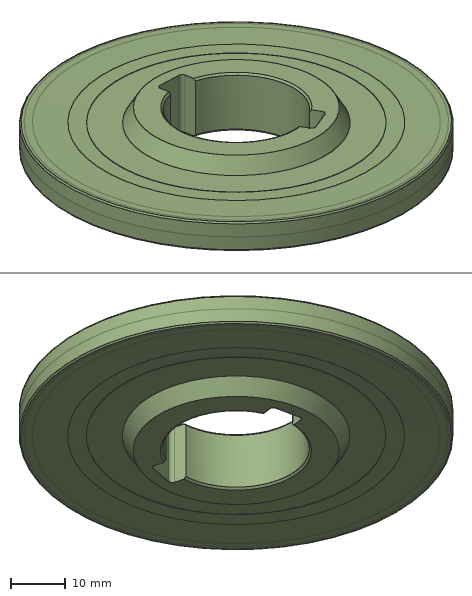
import cadquery as cq
import math

disc_radius = 40.0
hub_height = 12.0

hub_top_radius = 19.0
hub_base_radius = 21.0
web_radius = 27.6
web_half_thickness = 2.8

ring_inner_radius = 31.05
land_inner_radius = 37.6
land_outer_radius = 39.1
rim_thickness = 6.0
corner_size = 0.3
edge_radius = disc_radius - corner_size

dish_angle = 0.7
land_angle = 0.5
edge_angle = 1.3

rim_crown = 0.04

bore_radius = 13.5
bore_chamfer = 0.4
keyway_width = 7.0
keyway_depth_radius = 16.3
keyway_corner_radius = 0.8
keyway_angles = (0.0, 157.5)


def rise(inner_radius, outer_radius, angle):
    """Height gained by a conical face between two radii."""
    return (outer_radius - inner_radius) * math.tan(math.radians(angle))


edge_height = rim_thickness / 2
corner_height = edge_height - corner_size
land_outer_height = edge_height - rise(land_outer_radius, edge_radius, edge_angle)
land_inner_height = land_outer_height - rise(land_inner_radius, land_outer_radius, land_angle)
ring_inner_height = land_inner_height - rise(ring_inner_radius, land_inner_radius, dish_angle)
web_edge_height = ring_inner_height - rise(web_radius, ring_inner_radius, dish_angle)


def mirrored_revolve(upper_points):
    """Revolve a half profile, listed outwards, together with its mirror image below the middle plane."""
    lower_points = [(r, -z) for r, z in reversed(upper_points) if z > 0]
    profile = cq.Workplane("XZ").polyline(upper_points + lower_points).close()
    return profile.revolve(360, (0, 0, 0), (0, 1, 0))


def keyway(angle):
    """Through slot from the axis past the bore wall, with rounded outer corners."""
    slot = (
        cq.Workplane("XY")
        .box(keyway_depth_radius, keyway_width, hub_height, centered=(False, True, True))
        .edges("|Z and >X")
        .fillet(keyway_corner_radius)
    )
    return slot.rotate((0, 0, 0), (0, 0, 1), angle)


def make_hub():
    half_height = hub_height / 2
    hub = mirrored_revolve([
        (bore_radius, half_height - bore_chamfer),
        (bore_radius + bore_chamfer, half_height),
        (hub_top_radius, half_height),
        (hub_base_radius, web_half_thickness),
        (web_radius, web_half_thickness),
        (web_radius, web_edge_height),
        (ring_inner_radius, ring_inner_height),
    ])
    for angle in keyway_angles:
        hub = hub.cut(keyway(angle))
    return hub


def make_cutting_ring():
    return mirrored_revolve([
        (ring_inner_radius, ring_inner_height),
        (land_inner_radius, land_inner_height),
        (land_outer_radius, land_outer_height),
        (edge_radius, edge_height),
        (disc_radius - rim_crown, corner_height),
        (disc_radius, 0),
    ])


hub = make_hub()
cutting_ring = make_cutting_ring()
result = cq.Compound.makeCompound([hub.val(), cutting_ring.val()])